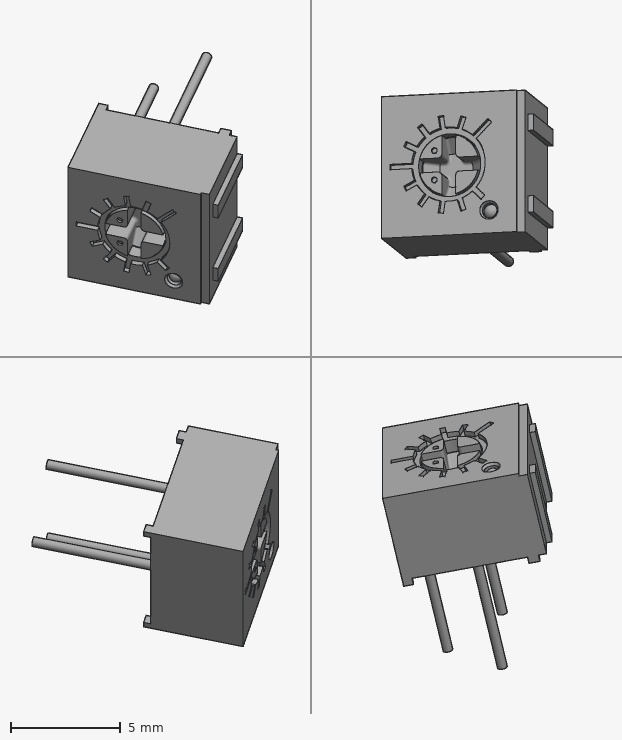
import cadquery as cq
FACE_WIDTH = 6.35
BODY_WIDTH = 6.73
OVERALL_WIDTH = 6.99
BODY_HEIGHT = 6.60
BODY_DEPTH = 4.37
FACE_STEP_DEPTH = 0.13
MID_Z = BODY_HEIGHT / 2

FEET_REAR_Y = 4.70
FOOT_HEIGHT = 0.31
LEFT_FOOT_WIDTH = 0.45
RIGHT_FOOT_WIDTH = 0.51

PAD_FRONT_Y = 0.65
PAD_HEIGHT = 0.76
PAD_SPACING = 3.81

LEAD_PITCH = 2.54
LEAD_RADIUS = 0.23
LEAD_TIP_Y = 10.16
CENTER_LEAD_X = 0.92
OUTER_LEAD_X = CENTER_LEAD_X + LEAD_PITCH

DIAL_X = 3.15
DIAL_RADIUS = 1.73
DIAL_DEPTH = 0.25
MARK_COUNT = 11
MARK_WIDTH = 0.25
MARK_STEP_ANGLE = 27
FIRST_MARK_ANGLE = 45
SHORT_MARK_RADIUS = 2.29
LONG_MARK_RADIUS = 2.75
LONG_MARKS = (0, 5)

ROTOR_RADIUS = 1.41
ROTOR_FACE_Y = 0.08
ROTOR_CLEARANCE = 0.05
SLOT_WIDTH = 0.65
SLOT_FLOOR_Y = 1.52
SLOT_FLOOR_FILLET = 0.14
SLOT_CORNER_RADIUS = 0.18
RAMP_INNER_RADIUS = 0.77
RAMP_OUTER_Y = SLOT_FLOOR_Y - (ROTOR_RADIUS - RAMP_INNER_RADIUS)
DIMPLE_OFFSET = 0.685
DIMPLE_RADIUS = 0.13
DIMPLE_DEPTH = 0.12

INDEX_X = 5.06
INDEX_Z = 1.07
INDEX_MOUTH_RADIUS = 0.43
INDEX_DOME_RADIUS = 0.34
INDEX_CHAMFER_DEPTH = 0.13
INDEX_DEPTH = 0.45


def box(x_range, y_range, z_range):
    """Axis-aligned block between the given limits."""
    x0, x1 = x_range
    y0, y1 = y_range
    z0, z1 = z_range
    block = cq.Workplane("XY").box(x1 - x0, y1 - y0, z1 - z0, centered=False)
    return block.translate((x0, y0, z0))


def disc(x, z, radius, y_start, y_end):
    """Cylinder along Y between two depths."""
    return cq.Workplane(cq.Solid.makeCylinder(
        radius, y_end - y_start, cq.Vector(x, y_start, z), cq.Vector(0, 1, 0)))


def turn_about_dial(shape, angle):
    """Rotate counter-clockwise, as seen from the front, about the dial axis."""
    return shape.rotate((DIAL_X, 0, MID_Z), (DIAL_X, -1, MID_Z), angle)


def make_housing():
    full_height = (0, BODY_HEIGHT)
    housing = box((0, FACE_WIDTH), (0, BODY_DEPTH), full_height)
    housing = housing.union(box((0, BODY_WIDTH), (FACE_STEP_DEPTH, BODY_DEPTH), full_height))
    for foot_x in ((0, LEFT_FOOT_WIDTH), (FACE_WIDTH - RIGHT_FOOT_WIDTH, FACE_WIDTH)):
        for foot_z in ((0, FOOT_HEIGHT), (BODY_HEIGHT - FOOT_HEIGHT, BODY_HEIGHT)):
            housing = housing.union(box(foot_x, (BODY_DEPTH, FEET_REAR_Y), foot_z))
    for side in (-1, 1):
        pad_z = MID_Z + side * PAD_SPACING / 2
        housing = housing.union(box(
            (FACE_WIDTH, OVERALL_WIDTH),
            (PAD_FRONT_Y, BODY_DEPTH),
            (pad_z - PAD_HEIGHT / 2, pad_z + PAD_HEIGHT / 2)))
    return housing


def make_leads():
    leads = disc(CENTER_LEAD_X, MID_Z, LEAD_RADIUS, BODY_DEPTH, LEAD_TIP_Y)
    for side in (-1, 1):
        lead_z = MID_Z + side * LEAD_PITCH
        leads = leads.union(disc(OUTER_LEAD_X, lead_z, LEAD_RADIUS, BODY_DEPTH, LEAD_TIP_Y))
    return leads


def make_dial_recess():
    recess = disc(DIAL_X, MID_Z, DIAL_RADIUS, 0, DIAL_DEPTH)
    for index in range(MARK_COUNT):
        reach = LONG_MARK_RADIUS if index in LONG_MARKS else SHORT_MARK_RADIUS
        mark = box(
            (DIAL_X + ROTOR_RADIUS, DIAL_X + reach),
            (0, DIAL_DEPTH),
            (MID_Z - MARK_WIDTH / 2, MID_Z + MARK_WIDTH / 2))
        recess = recess.union(turn_about_dial(mark, FIRST_MARK_ANGLE + index * MARK_STEP_ANGLE))
    return recess


def make_slot_arm():
    """Two opposite arms of the cross slot, with ramped ends."""
    profile = [
        (-ROTOR_RADIUS, 0),
        (-ROTOR_RADIUS, RAMP_OUTER_Y),
        (-RAMP_INNER_RADIUS, SLOT_FLOOR_Y),
        (RAMP_INNER_RADIUS, SLOT_FLOOR_Y),
        (ROTOR_RADIUS, RAMP_OUTER_Y),
        (ROTOR_RADIUS, 0),
    ]
    arm = cq.Workplane("XY").polyline(profile).close().extrude(SLOT_WIDTH / 2, both=True)
    return arm.translate((DIAL_X, 0, MID_Z))


def runs_along_slot_wall(edge):
    """True for the lower edges where the slot walls meet the floor and the ramps."""
    center = edge.Center()
    ramp_mid_y = (RAMP_OUTER_Y + SLOT_FLOOR_Y) / 2
    at_floor_or_ramp = center.y > ramp_mid_y - SLOT_FLOOR_FILLET
    away_from_axes = min(abs(center.x - DIAL_X), abs(center.z - MID_Z)) > SLOT_WIDTH / 4
    return at_floor_or_ramp and away_from_axes


def make_cross_slot():
    arm = make_slot_arm()
    cross = arm.union(turn_about_dial(arm, 90))
    reach = SLOT_WIDTH / 2 + SLOT_CORNER_RADIUS
    corner_region = cq.selectors.BoxSelector(
        (DIAL_X - reach, 0, MID_Z - reach),
        (DIAL_X + reach, SLOT_FLOOR_Y, MID_Z + reach))
    cross = cross.edges("|Y").edges(corner_region).fillet(SLOT_CORNER_RADIUS)
    return cross.edges().filter(runs_along_slot_wall).fillet(SLOT_FLOOR_FILLET)


def make_clearance_groove():
    """Thin gap between the rotor and the housing."""
    outer = disc(DIAL_X, MID_Z, ROTOR_RADIUS + ROTOR_CLEARANCE, 0, RAMP_OUTER_Y)
    return outer.cut(disc(DIAL_X, MID_Z, ROTOR_RADIUS, 0, RAMP_OUTER_Y))


def make_rotor_face():
    """Top of the rotor, standing proud of the recess floor."""
    return disc(DIAL_X, MID_Z, ROTOR_RADIUS, ROTOR_FACE_Y, DIAL_DEPTH)


def cut_dimples(part):
    for side in (-1, 1):
        part = part.cut(disc(
            DIAL_X - DIMPLE_OFFSET, MID_Z + side * DIMPLE_OFFSET,
            DIMPLE_RADIUS, ROTOR_FACE_Y, ROTOR_FACE_Y + DIMPLE_DEPTH))
    return part


def make_index_hole():
    chamfer = cq.Workplane(cq.Solid.makeCone(
        INDEX_MOUTH_RADIUS, INDEX_DOME_RADIUS, INDEX_CHAMFER_DEPTH,
        cq.Vector(INDEX_X, 0, INDEX_Z), cq.Vector(0, 1, 0)))
    bore = disc(INDEX_X, INDEX_Z, INDEX_DOME_RADIUS, INDEX_CHAMFER_DEPTH, INDEX_DEPTH)
    dome = cq.Workplane("XY").sphere(INDEX_DOME_RADIUS).translate((INDEX_X, INDEX_DEPTH, INDEX_Z))
    return chamfer.union(bore).cut(dome)


part = make_housing().union(make_leads())
part = part.cut(make_dial_recess()).union(make_rotor_face())
part = part.cut(make_cross_slot()).cut(make_clearance_groove())
part = cut_dimples(part)
result = part.cut(make_index_hole())